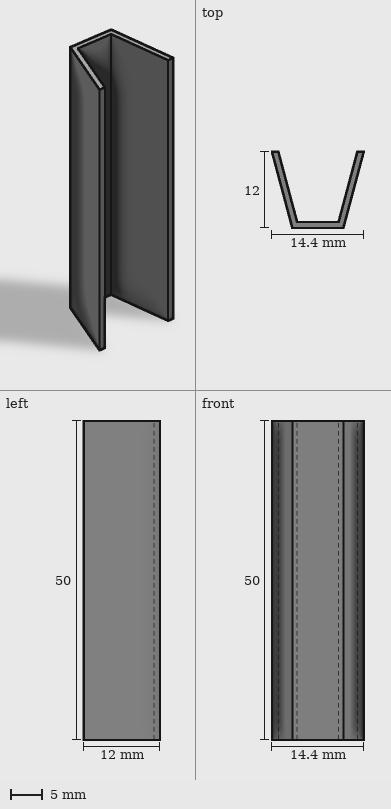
import cadquery as cq
import math

length = 50.0
depth = 12.0
base_width = 8.0
wall = 1.0
flare_angle = math.radians(15.0)

wall_across = wall / math.cos(flare_angle)
outer_base = base_width / 2
outer_rim = outer_base + depth * math.tan(flare_angle)
inner_rim = outer_rim - wall_across
inner_base = outer_base + wall * math.tan(flare_angle) - wall_across

right_half = [
    (outer_base, 0),
    (outer_rim, depth),
    (inner_rim, depth),
    (inner_base, wall),
]
left_half = [(-x, y) for x, y in reversed(right_half)]

result = cq.Workplane("XY").polyline(right_half + left_half).close().extrude(length)